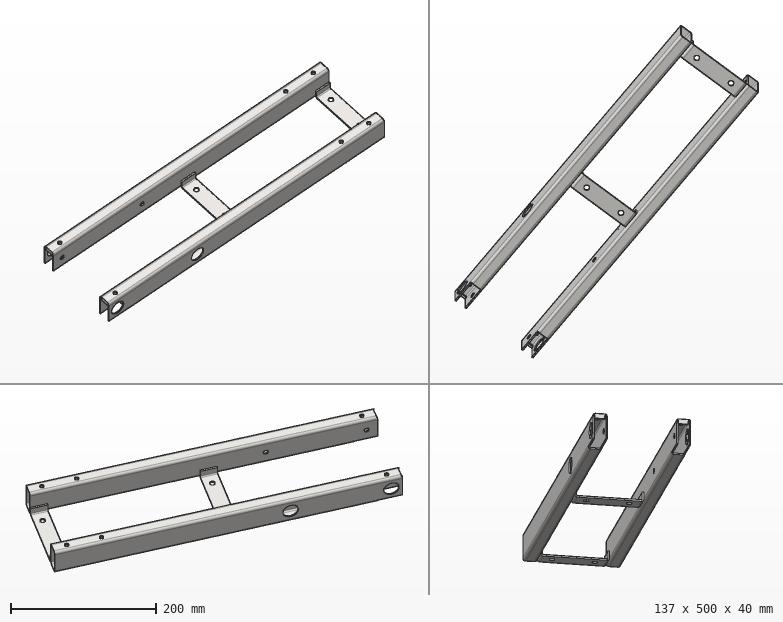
import cadquery as cq
import math

FRAME_WIDTH = 137.0
LENGTH = 500.0
HEIGHT = 40.0

SHEET = 2.0
RAIL_WIDTH = 20.0
BEND_RADIUS = 4.0
INNER_BEND_RADIUS = BEND_RADIUS - SHEET

FLOOR_START = 35.0
FRONT_WALL_BOTTOM = 3.0
LIP_SETBACK = 1.0
LIP_THICKNESS = 3.0
LIP_DROP = 7.0
LIP_WIDTH = 14.0

SCREW_HOLE_DIAMETER = 5.2
SCREW_COUNTERSINK_DIAMETER = 6.0
COUNTERSINK_HALF_ANGLE = 45.0
SCREW_HOLE_POSITIONS = (20.0, 430.0, 480.0)
SIDE_HOLE_DIAMETER = 7.0
ACCESS_HOLE_DIAMETER = 22.0
SIDE_HOLE_POSITIONS = (16.0, 161.0)

BRACKET_DEPTH = 25.0
BRACKET_SHEET = 2.5
BRACKET_HEIGHT = 13.5
BRACKET_BEND_RADIUS = 4.0
BRACKET_CENTERS = (243.5, LENGTH - BRACKET_DEPTH / 2)
BRACKET_WIDTH = FRAME_WIDTH - 2 * RAIL_WIDTH
BRACKET_HOLE_DIAMETER = 7.5
BRACKET_HOLE_SPACING = 60.0


def block(x_min, x_max, y_min, y_max, z_min, z_max):
    """Axis-aligned box given by its limits."""
    size = (x_max - x_min, y_max - y_min, z_max - z_min)
    return cq.Workplane("XY").box(*size, centered=False).translate((x_min, y_min, z_min))


def rail_tube():
    """Folded tube along Y with rounded edges."""
    outer = block(0, RAIL_WIDTH, 0, LENGTH, 0, HEIGHT).edges("|Y").fillet(BEND_RADIUS)
    inner = block(SHEET, RAIL_WIDTH - SHEET, 0, LENGTH, SHEET, HEIGHT - SHEET)
    return outer.cut(inner.edges("|Y").fillet(INNER_BEND_RADIUS))


def front_lip():
    """Tab hanging from the front edge of the rail top."""
    margin = (RAIL_WIDTH - LIP_WIDTH) / 2
    return block(
        margin, RAIL_WIDTH - margin,
        LIP_SETBACK, LIP_SETBACK + LIP_THICKNESS,
        HEIGHT - LIP_DROP, HEIGHT - SHEET,
    )


def trim_front_end(rail):
    """Open the floor at the front, set the top back and add the lip."""
    rail = rail.cut(block(0, RAIL_WIDTH, 0, FLOOR_START, 0, FRONT_WALL_BOTTOM))
    rail = rail.cut(block(SHEET, RAIL_WIDTH - SHEET, 0, LIP_SETBACK, HEIGHT - BEND_RADIUS, HEIGHT))
    return rail.union(front_lip()).clean()


def drill_rail(rail):
    """Countersunk screw holes in the top, bolt holes in the inner wall, access holes in the outer wall."""
    taper_slope = math.tan(math.radians(COUNTERSINK_HALF_ANGLE))
    countersink_depth = (SCREW_COUNTERSINK_DIAMETER - SCREW_HOLE_DIAMETER) / 2 / taper_slope
    for y in SCREW_HOLE_POSITIONS:
        top = cq.Workplane("XY", origin=(RAIL_WIDTH / 2, y, HEIGHT))
        rail = rail.cut(top.circle(SCREW_HOLE_DIAMETER / 2).extrude(-HEIGHT / 2))
        countersink = top.circle(SCREW_COUNTERSINK_DIAMETER / 2)
        rail = rail.cut(countersink.extrude(-countersink_depth, taper=COUNTERSINK_HALF_ANGLE))
    for y in SIDE_HOLE_POSITIONS:
        side = cq.Workplane("YZ").center(y, HEIGHT / 2)
        rail = rail.cut(side.circle(SIDE_HOLE_DIAMETER / 2).extrude(RAIL_WIDTH))
        rail = rail.cut(side.circle(ACCESS_HOLE_DIAMETER / 2).extrude(RAIL_WIDTH / 2))
    return rail


def cross_bracket(center_y):
    """U-shaped bracket joining the two rails, with two mounting holes."""
    x_min = RAIL_WIDTH
    x_max = RAIL_WIDTH + BRACKET_WIDTH
    y_min = center_y - BRACKET_DEPTH / 2
    y_max = y_min + BRACKET_DEPTH
    outer = block(x_min, x_max, y_min, y_max, 0, BRACKET_HEIGHT)
    outer = outer.edges("|Y and <Z").fillet(BRACKET_BEND_RADIUS)
    inner = block(
        x_min + BRACKET_SHEET, x_max - BRACKET_SHEET,
        y_min, y_max,
        BRACKET_SHEET, BRACKET_HEIGHT,
    )
    inner = inner.edges("|Y and <Z").fillet(BRACKET_BEND_RADIUS - BRACKET_SHEET)
    bracket = outer.cut(inner)
    for side in (-1, 1):
        hole_x = (FRAME_WIDTH + side * BRACKET_HOLE_SPACING) / 2
        hole = cq.Workplane("XY", origin=(hole_x, center_y, 0))
        bracket = bracket.cut(hole.circle(BRACKET_HOLE_DIAMETER / 2).extrude(BRACKET_SHEET))
    return bracket


left_rail = drill_rail(trim_front_end(rail_tube()))
right_rail = left_rail.mirror("YZ").translate((FRAME_WIDTH, 0, 0))

result = left_rail.union(right_rail)
for bracket_center in BRACKET_CENTERS:
    result = result.union(cross_bracket(bracket_center))